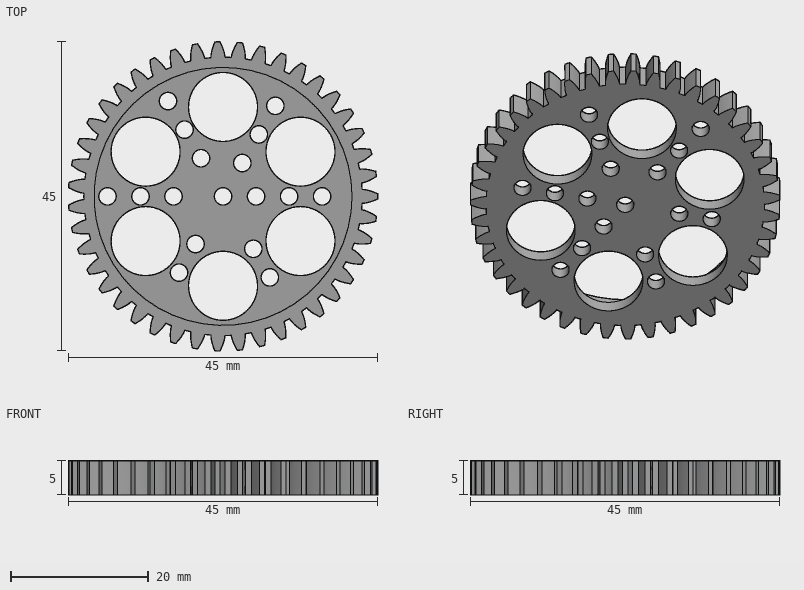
import cadquery as cq
import math

TOOTH_COUNT = 43
MODULE = 1.0
PRESSURE_ANGLE = math.radians(20)
CLEARANCE_FACTOR = 0.25
FACE_WIDTH = 5.0

PITCH_RADIUS = MODULE * TOOTH_COUNT / 2
BASE_RADIUS = PITCH_RADIUS * math.cos(PRESSURE_ANGLE)
TIP_RADIUS = PITCH_RADIUS + MODULE
ROOT_RADIUS = PITCH_RADIUS - MODULE * (1 + CLEARANCE_FACTOR)
TOOTH_PITCH = 2 * math.pi / TOOTH_COUNT
FLANK_POINTS = 5

RECESS_DIAMETER = 37.5
WEB_THICKNESS = FACE_WIDTH / 2

SPOKE_COUNT = 6
SPOKE_ANGLE = 360 / SPOKE_COUNT
WINDOW_DIAMETER = 10.0
WINDOW_CENTER_RADIUS = 13.0
PIN_HOLE_DIAMETER = 2.5

PIN_HOLE_SPACING = 4.8
ROW_STEP = PIN_HOLE_SPACING / SPOKE_COUNT
MAX_HOLES_PER_ROW = 3
PIN_HOLE_LIMIT_RADIUS = (RECESS_DIAMETER - PIN_HOLE_DIAMETER) / 2


def polar(radius, angle):
    return (radius * math.cos(angle), radius * math.sin(angle))


def involute(angle):
    return math.tan(angle) - angle


def half_tooth_angle(radius):
    """Half the angle a tooth spans at a radius, for involute flanks."""
    flank_angle = math.acos(BASE_RADIUS / radius)
    return TOOTH_PITCH / 4 + involute(PRESSURE_ANGLE) - involute(flank_angle)


def make_gear_blank():
    """Toothed disc with one tooth centred on +X."""
    flank_step = (TIP_RADIUS - ROOT_RADIUS) / (FLANK_POINTS - 1)
    radii = [ROOT_RADIUS + i * flank_step for i in range(FLANK_POINTS)]
    root_half_angle = half_tooth_angle(ROOT_RADIUS)

    outline = cq.Workplane("XY").moveTo(*polar(ROOT_RADIUS, -root_half_angle))
    for tooth in range(TOOTH_COUNT):
        center = tooth * TOOTH_PITCH
        rising = [polar(r, center - half_tooth_angle(r)) for r in radii]
        falling = [polar(r, center + half_tooth_angle(r)) for r in reversed(radii)]
        next_root = polar(ROOT_RADIUS, center + TOOTH_PITCH - root_half_angle)
        outline = outline.spline(rising[1:], includeCurrent=True)
        outline = outline.threePointArc(polar(TIP_RADIUS, center), falling[0])
        outline = outline.spline(falling[1:], includeCurrent=True)
        outline = outline.threePointArc(polar(ROOT_RADIUS, center + TOOTH_PITCH / 2), next_root)
    return outline.close().extrude(FACE_WIDTH)


def make_recess():
    recess = cq.Workplane("XY").workplane(offset=WEB_THICKNESS)
    return recess.circle(RECESS_DIAMETER / 2).extrude(FACE_WIDTH - WEB_THICKNESS)


def make_windows():
    """Large round openings midway between the +X and -X rows."""
    centers = cq.Workplane("XY").polarArray(WINDOW_CENTER_RADIUS, SPOKE_ANGLE / 2, 360, SPOKE_COUNT)
    return centers.circle(WINDOW_DIAMETER / 2).extrude(FACE_WIDTH)


def pin_hole_centers():
    """Centre hole plus the radial rows, keeping only holes that clear the rim."""
    centers = [(0, 0)]
    for row in range(SPOKE_COUNT):
        for position in range(MAX_HOLES_PER_ROW):
            radius = PIN_HOLE_SPACING * (position + 1) + ROW_STEP * row
            if radius < PIN_HOLE_LIMIT_RADIUS:
                centers.append(polar(radius, math.radians(row * SPOKE_ANGLE)))
    return centers


def make_pin_holes():
    holes = cq.Workplane("XY").pushPoints(pin_hole_centers())
    return holes.circle(PIN_HOLE_DIAMETER / 2).extrude(FACE_WIDTH)


result = make_gear_blank().cut(make_recess()).cut(make_windows()).cut(make_pin_holes())